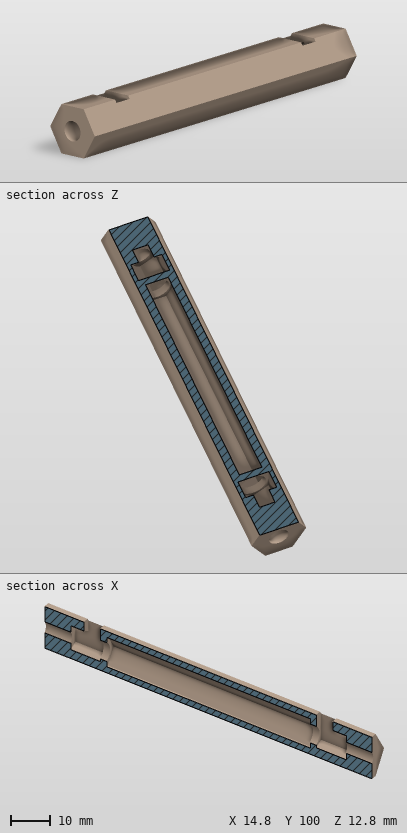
import cadquery as cq
import math

bar_length = 100.0
bar_across_flats = 12.8
bore_diameter = 5.3

nut_across_flats = 8.3
slot_width = 5.0
slot_end_distance = 12.0
seat_depth = 4.0

wall_thickness = 2.0
passage_diameter = 7.0

HEX_SIDES = 6
POINT_UP_TURN = 180 / HEX_SIDES

bar_end = bar_length / 2
slot_outer = bar_end - slot_end_distance
slot_inner = slot_outer - slot_width
cavity_end = slot_inner - wall_thickness


def across_corners(across_flats):
    return across_flats / math.cos(math.pi / HEX_SIDES)


def section_plane(start_y):
    """XZ plane at the given Y; a positive extrusion runs towards +Y."""
    return cq.Workplane(cq.Plane(origin=(0, start_y, 0), xDir=(-1, 0, 0), normal=(0, 1, 0)))


def hex_prism(across_flats, start_y, end_y):
    """Hexagonal prism along Y with flats facing up and down."""
    outline = section_plane(start_y).polygon(HEX_SIDES, across_corners(across_flats))
    return outline.extrude(end_y - start_y)


def round_bar(diameter, start_y, end_y):
    return section_plane(start_y).circle(diameter / 2).extrude(end_y - start_y)


def nut_slot():
    """Slot with vertical sides and the lower part of a point-down hexagon as its floor."""
    half_width = nut_across_flats / 2
    point_z = -across_corners(nut_across_flats) / 2
    shoulder_z = point_z / 2
    top_z = bar_across_flats / 2
    outline = (
        section_plane(slot_inner)
        .moveTo(-half_width, top_z)
        .lineTo(-half_width, shoulder_z)
        .lineTo(0, point_z)
        .lineTo(half_width, shoulder_z)
        .lineTo(half_width, top_z)
        .close()
    )
    return outline.extrude(slot_width)


def nut_seat():
    """Hexagonal pocket with a corner up, running from the slot towards the bar end."""
    prism = hex_prism(nut_across_flats, slot_outer, slot_outer + seat_depth)
    return prism.rotate((0, 0, 0), (0, 1, 0), POINT_UP_TURN)


def middle_cavity():
    """Hexagonal hollow that leaves an even wall inside the bar."""
    cavity_across_flats = bar_across_flats - 2 * wall_thickness
    return hex_prism(cavity_across_flats, -cavity_end, cavity_end)


result = hex_prism(bar_across_flats, -bar_end, bar_end)
result = result.cut(round_bar(bore_diameter, -bar_end, bar_end))
result = result.cut(round_bar(passage_diameter, -slot_inner, slot_inner))
result = result.cut(middle_cavity())
for pocket in (nut_slot(), nut_seat()):
    result = result.cut(pocket)
    result = result.cut(pocket.mirror("XZ"))